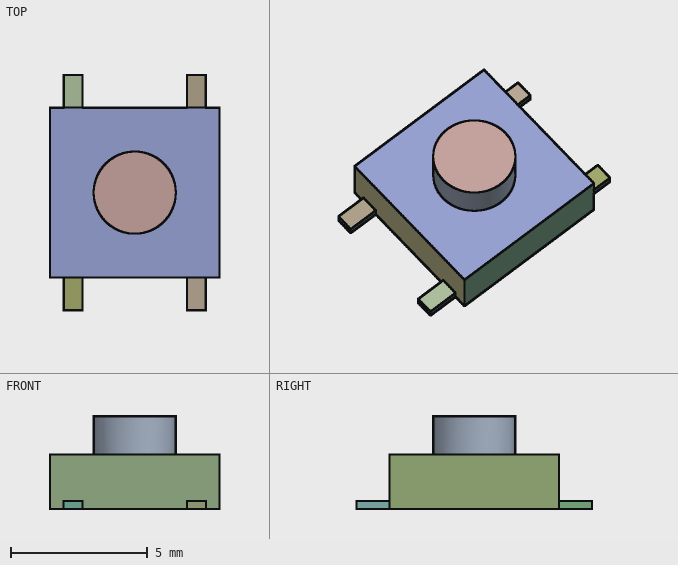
import cadquery as cq

body_side = 6.2
body_height = 2.0

button_diameter = 3.0
total_height = 3.4
button_height = total_height - body_height

lead_span = 8.6
lead_width = 0.7
lead_thickness = 0.3
lead_spacing = 4.5


def make_housing():
    return cq.Workplane("XY").rect(body_side, body_side).extrude(body_height)


def make_button():
    return (
        cq.Workplane("XY")
        .workplane(offset=body_height)
        .circle(button_diameter / 2)
        .extrude(button_height)
    )


def make_lead_pair(x):
    """One strip through the housing, showing as a lead at each end."""
    return cq.Workplane("XY").center(x, 0).rect(lead_width, lead_span).extrude(lead_thickness)


result = make_housing().union(make_button())
for side in (-1, 1):
    result = result.union(make_lead_pair(side * lead_spacing / 2))